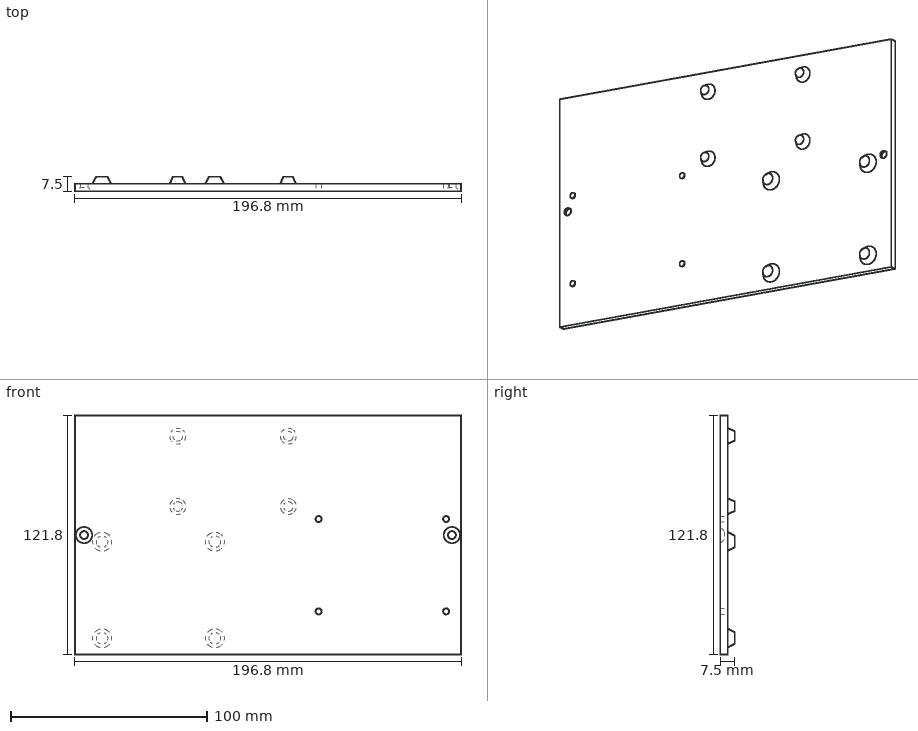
import cadquery as cq

plate_length = 196.8
plate_height = 121.8
total_depth = 7.5
plate_thickness = 4.0
standoff_height = total_depth - plate_thickness

screw_edge_distance = 4.7
screw_hole_diameter = 4.0
countersink_diameter = 8.3
countersink_angle = 90

small_hole_diameter = 3.0
small_hole_columns = (124.2, 189.1)
small_hole_rows = (22.0, 69.0)

large_base_diameter = 9.6
large_tip_diameter = 6.0
large_columns = (13.8, 71.2)
large_rows = (8.5, 57.7)

small_base_diameter = 8.0
small_tip_diameter = 5.0
small_columns = (52.3, 108.6)
small_rows = (75.5, 111.4)


def grid(columns, rows):
    """Every (x, z) position of a rectangular pattern."""
    return [(x, z) for x in columns for z in rows]


def standoffs(base_diameter, tip_diameter, positions):
    """Cones standing on the back face, narrowing toward +Y."""
    base_radius = base_diameter / 2
    tip_radius = tip_diameter / 2
    back = cq.Vector(0, 1, 0)
    feet = [cq.Vector(x, plate_thickness, z) for x, z in positions]
    return [cq.Solid.makeCone(base_radius, tip_radius, standoff_height, foot, back) for foot in feet]


def front_face(body, positions):
    """Place points on the front face of the plate."""
    return body.faces("<Y").workplane(origin=(0, 0, 0)).pushPoints(positions)


plate = cq.Workplane("XY").box(plate_length, plate_thickness, plate_height, centered=False)

screw_columns = (screw_edge_distance, plate_length - screw_edge_distance)
screw_positions = grid(screw_columns, (plate_height / 2,))
plate = front_face(plate, screw_positions).cskHole(
    screw_hole_diameter, countersink_diameter, countersink_angle
)

small_hole_positions = grid(small_hole_columns, small_hole_rows)
plate = front_face(plate, small_hole_positions).hole(small_hole_diameter)

large_standoffs = standoffs(large_base_diameter, large_tip_diameter, grid(large_columns, large_rows))
small_standoffs = standoffs(small_base_diameter, small_tip_diameter, grid(small_columns, small_rows))

result = plate
for standoff in large_standoffs + small_standoffs:
    result = result.union(cq.Workplane(standoff))